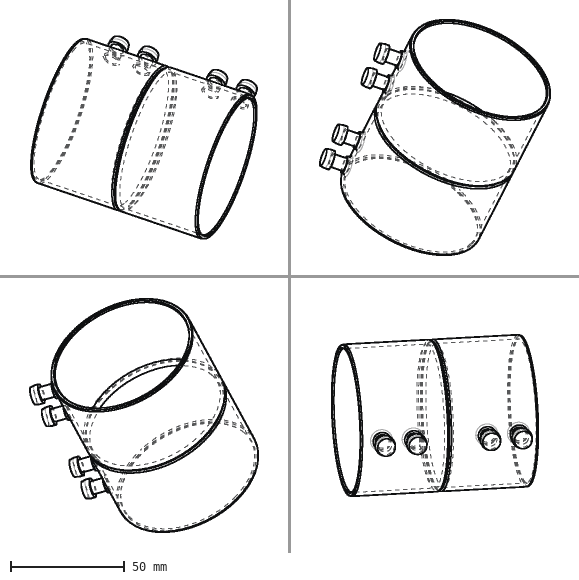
import cadquery as cq

length = 79.8
outer_radius = 67.2 / 2
bore_radius = 63.5 / 2
rim_chamfer_length = 0.8
rim_chamfer_depth = 0.3

groove_width = 1.75
groove_floor_width = 0.5
groove_floor_radius = 65.6 / 2

stop_crown_radius = 62.6 / 2
stop_width = 4.0

pin_tip = 45.5
pin_offsets = (16.5, 30.7)
collar_radius = 8.0 / 2
collar_top = 35.35
weld_fillet = 0.95
shank_radius = 6.0 / 2
head_radius = 8.8 / 2
head_tip_radius = 8.0 / 2
head_height = 3.9
head_taper_height = 1.9
pin_positions = [side * offset for side in (-1, 1) for offset in pin_offsets]


def revolve_about_x(profile):
    """Turn a closed XY profile into a solid of revolution about the X axis."""
    return profile.revolve(360, (0, 0, 0), (1, 0, 0))


def make_shell():
    """Solid cylinder with chamfered rims and the V-groove, not yet bored."""
    end = length / 2
    rim_radius = outer_radius - rim_chamfer_depth
    profile = (
        cq.Workplane("XY")
        .moveTo(-end, 0)
        .lineTo(-end, rim_radius)
        .lineTo(-end + rim_chamfer_length, outer_radius)
        .lineTo(-groove_width / 2, outer_radius)
        .lineTo(-groove_floor_width / 2, groove_floor_radius)
        .lineTo(groove_floor_width / 2, groove_floor_radius)
        .lineTo(groove_width / 2, outer_radius)
        .lineTo(end - rim_chamfer_length, outer_radius)
        .lineTo(end, rim_radius)
        .lineTo(end, 0)
        .close()
    )
    return revolve_about_x(profile)


def add_collars(body):
    """Round collars joined to the sleeve by a small fillet."""
    for x in pin_positions:
        collar = (
            cq.Workplane("XZ", origin=(x, 0, 0))
            .workplane(offset=-collar_top)
            .circle(collar_radius)
            .extrude(collar_top - bore_radius)
        )
        body = body.union(collar)
        foot_box = cq.selectors.BoxSelector(
            (x - 2 * collar_radius, bore_radius, -2 * collar_radius),
            (x + 2 * collar_radius, outer_radius + weld_fillet, 2 * collar_radius),
        )
        body = body.edges(foot_box).fillet(weld_fillet)
    return body


def make_bore():
    """Through bore that leaves the rounded stop bead, with chamfered mouths."""
    end = length / 2
    stop_end = stop_width / 2
    mouth_radius = bore_radius + rim_chamfer_depth
    profile = (
        cq.Workplane("XY")
        .moveTo(-end, 0)
        .lineTo(-end, mouth_radius)
        .lineTo(-end + rim_chamfer_length, bore_radius)
        .lineTo(-stop_end, bore_radius)
        .threePointArc((0, stop_crown_radius), (stop_end, bore_radius))
        .lineTo(end - rim_chamfer_length, bore_radius)
        .lineTo(end, mouth_radius)
        .lineTo(end, 0)
        .close()
    )
    return revolve_about_x(profile)


def make_pin(x):
    """Shank and tapered head above a collar, turned about the pin axis."""
    head_bottom = pin_tip - head_height
    return (
        cq.Workplane("XY", origin=(x, 0, 0))
        .moveTo(0, collar_top)
        .lineTo(shank_radius, collar_top)
        .lineTo(shank_radius, head_bottom)
        .lineTo(head_radius, head_bottom)
        .lineTo(head_radius, pin_tip - head_taper_height)
        .lineTo(head_tip_radius, pin_tip)
        .lineTo(0, pin_tip)
        .close()
        .revolve(360, (0, 0, 0), (0, 1, 0))
    )


result = add_collars(make_shell()).cut(make_bore())
for pin_x in pin_positions:
    result = result.union(make_pin(pin_x))